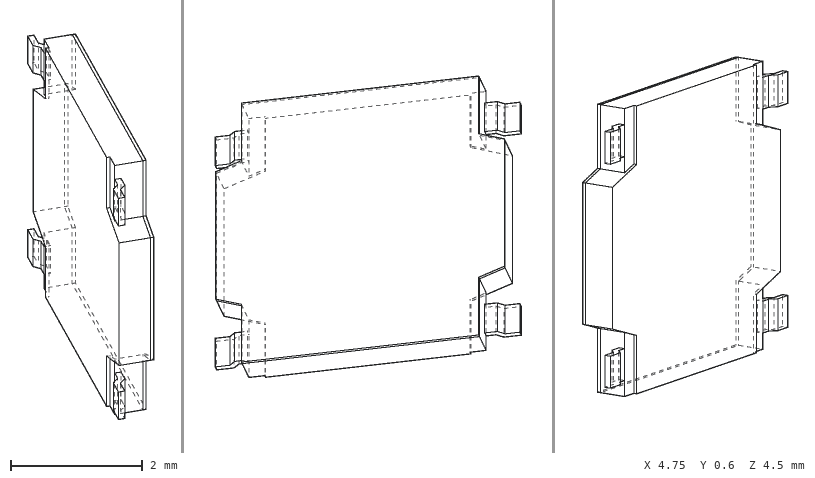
import cadquery as cq
import math

SPAN = 4.75
DEPTH = 0.6

BODY_SIZE = 4.5
NECK_WIDTH = 3.7
RIDGE_WIDTH = 3.2
BULGE_HEIGHT = 2.215
SHOULDER_RISE = 0.23

BODY_DEPTH = 0.55
COVER_THICKNESS = 0.05
STEP_DEPTH = 0.05
FRONT_Y = DEPTH - BODY_DEPTH
STEP_Y = FRONT_Y + STEP_DEPTH
COVER_Y = DEPTH - COVER_THICKNESS

STRIP_THICKNESS = 0.1
STRIP_WIDTH = 0.5
STRIP_RISE = 0.1
BEND_ANGLE = 45.0
FOOT_LENGTH = 0.27
TERMINAL_Z = 1.75


def stepped_outline(end_width):
    """Body outline in X and Z whose upper and lower ends have the given width."""
    half_size = BODY_SIZE / 2
    half_end = end_width / 2
    half_bulge = BULGE_HEIGHT / 2
    shoulder_slope = SHOULDER_RISE / ((BODY_SIZE - RIDGE_WIDTH) / 2)
    shoulder_z = half_bulge + shoulder_slope * (half_size - half_end)
    quarter = [(half_end, half_size), (half_end, shoulder_z), (half_size, half_bulge)]
    right_side = quarter + [(x, -z) for x, z in reversed(quarter)]
    left_side = [(-x, -z) for x, z in right_side]
    return right_side + left_side


def layer(end_width, y_front, y_back):
    """Plate with the stepped outline, from y_front to y_back."""
    outline = stepped_outline(end_width)
    return cq.Workplane("XZ", origin=(0, y_back, 0)).polyline(outline).close().extrude(y_back - y_front)


def make_housing():
    """Main block with a narrower raised front face that leaves a step at each corner."""
    block = layer(NECK_WIDTH, STEP_Y, COVER_Y)
    front_face = layer(RIDGE_WIDTH, FRONT_Y, STEP_Y)
    return block.union(front_face)


def make_cover():
    """Thin plate over the whole +Y face of the housing."""
    return layer(NECK_WIDTH, COVER_Y, DEPTH)


def make_terminal(side, z_center):
    """Bent strip: foot on the seating plane, sloped step, arm to the neck wall; side is -1 or 1."""
    angle = math.radians(BEND_ANGLE)
    tip_x = SPAN / 2
    wall_x = NECK_WIDTH / 2
    low_bend_x = tip_x - FOOT_LENGTH
    high_bend_x = low_bend_x - STRIP_RISE / math.tan(angle)
    bend_shift = STRIP_THICKNESS * math.tan(angle / 2)
    profile = [
        (tip_x, 0),
        (low_bend_x, 0),
        (high_bend_x, STRIP_RISE),
        (wall_x, STRIP_RISE),
        (wall_x, STRIP_RISE + STRIP_THICKNESS),
        (high_bend_x + bend_shift, STRIP_RISE + STRIP_THICKNESS),
        (low_bend_x + bend_shift, STRIP_THICKNESS),
        (tip_x, STRIP_THICKNESS),
    ]
    side_profile = [(side * x, y) for x, y in profile]
    bottom_z = z_center - STRIP_WIDTH / 2
    return cq.Workplane("XY", origin=(0, 0, bottom_z)).polyline(side_profile).close().extrude(STRIP_WIDTH)


housing = make_housing()
cover = make_cover()
terminals = [
    make_terminal(side, level * TERMINAL_Z)
    for side in (-1, 1)
    for level in (-1, 1)
]

result = cq.Compound.makeCompound([
    housing.val(),
    cover.val(),
    *[terminal.val() for terminal in terminals],
])